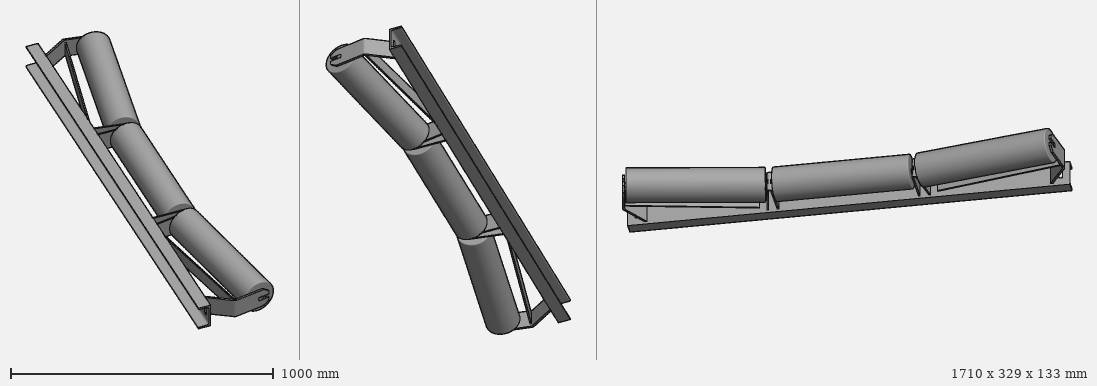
import cadquery as cq
import math


CHANNEL_LENGTH = 1710.0
CHANNEL_HEIGHT = 101.0
CHANNEL_DEPTH = 50.0
WEB_THICKNESS = 6.0
FLANGE_ROOT_THICKNESS = 9.0
FLANGE_TOE_THICKNESS = 7.2
ROOT_RADIUS = 9.4
TOE_RADIUS = 4.0
MOUNT_SLOT_WIDTH = 15.0
MOUNT_SLOT_LENGTH = 38.0
MOUNT_SLOT_X = 819.0

ROLLER_DIAMETER = 133.0
ROLLER_LENGTH = 530.0
ROLLER_EDGE_RADIUS = 3.0
ROLLER_END_GAP = 5.0
SHAFT_DIAMETER = 20.0
SHAFT_FLAT_WIDTH = 15.0
MIDDLE_ROLLER_Y = 118.0
SIDE_ROLLER_X = 561.0
SIDE_ROLLER_Y = 168.0
TROUGH_ANGLE = 10.0

BRACKET_WIDTH = 79.0
INNER_THICKNESS = 6.0
INNER_BEND_RADIUS = 4.3
INNER_TOP_Y = 145.0
OUTER_THICKNESS = 8.0
OUTER_BEND_RADIUS = 7.0
OUTER_TOP_RISE = 36.0
OUTER_BEND_Y = 103.0
OUTER_FOOT_X = 790.0
OUTER_CHAMFER_DEPTH = 24.0
OUTER_CHAMFER_WIDTH = 17.0

BRACE_WIDTH = 55.0
BRACE_THICKNESS = 6.0
BRACE_FOOT_X = 345.0
BRACE_ANGLE = 12.0

SIDES = (-1, 1)
HALF_ROLLER = ROLLER_LENGTH / 2
PLATE_FACE = HALF_ROLLER + ROLLER_END_GAP
COS_TROUGH = math.cos(math.radians(TROUGH_ANGLE))
SIN_TROUGH = math.sin(math.radians(TROUGH_ANGLE))
TAN_TROUGH = math.tan(math.radians(TROUGH_ANGLE))


def on_right_roller(along, across):
    """XY point given along the right roller's axis (outward) and square to it (away from the channel)."""
    x = SIDE_ROLLER_X + along * COS_TROUGH - across * SIN_TROUGH
    y = SIDE_ROLLER_Y + along * SIN_TROUGH + across * COS_TROUGH
    return x, y


def end_face_x(along, y):
    """X at height y on the plane square to the right roller's axis."""
    face_x, face_y = on_right_roller(along, 0)
    return face_x - (y - face_y) * TAN_TROUGH


def place_on_right_roller(shape):
    """Move a shape built around the X axis onto the right roller's axis."""
    return shape.rotate((0, 0, 0), (0, 0, 1), TROUGH_ANGLE).translate((SIDE_ROLLER_X, SIDE_ROLLER_Y, 0))


def on_side(shape, side):
    """The right-hand shape itself, or its mirror image for the left."""
    return shape if side > 0 else shape.mirror("YZ")


def extrude_outline(points, width):
    """Extrude an XY outline, centred on Z = 0."""
    return cq.Workplane("XY").polyline(points).close().extrude(width / 2, both=True)


def round_bend(plate, point, radius):
    """Round the bend line of a plate that passes nearest to an XY point."""
    return plate.edges(cq.selectors.NearestToPointSelector((*point, 0))).fillet(radius)


def make_channel():
    half_height = CHANNEL_HEIGHT / 2
    root = half_height - FLANGE_ROOT_THICKNESS
    toe = half_height - FLANGE_TOE_THICKNESS
    section = [
        (0, -half_height),
        (0, half_height),
        (-CHANNEL_DEPTH, half_height),
        (-CHANNEL_DEPTH, toe),
        (-WEB_THICKNESS, root),
        (-WEB_THICKNESS, -root),
        (-CHANNEL_DEPTH, -toe),
        (-CHANNEL_DEPTH, -half_height),
    ]
    channel = cq.Workplane("YZ").polyline(section).close().extrude(CHANNEL_LENGTH / 2, both=True)
    for side in SIDES:
        for y, z, radius in ((-WEB_THICKNESS, root, ROOT_RADIUS), (-CHANNEL_DEPTH, toe, TOE_RADIUS)):
            channel = channel.edges(cq.selectors.NearestToPointSelector((0, y, side * z))).fillet(radius)
    slots = (
        cq.Workplane("XZ")
        .pushPoints([(side * MOUNT_SLOT_X, 0) for side in SIDES])
        .slot2D(MOUNT_SLOT_LENGTH, MOUNT_SLOT_WIDTH, 90)
        .extrude(WEB_THICKNESS)
    )
    return channel.cut(slots)


def make_shaft_end(start, length):
    """Round shaft end around the X axis, flattened on its two Z sides."""
    rod = cq.Workplane("YZ", origin=(start, 0, 0)).circle(SHAFT_DIAMETER / 2).extrude(length)
    flats = cq.Workplane("YZ", origin=(start, 0, 0)).rect(SHAFT_DIAMETER, SHAFT_FLAT_WIDTH).extrude(length)
    return rod.intersect(flats)


def make_roller(left_plate, right_plate):
    """Roller along X whose shaft ends run through plates of the given thicknesses."""
    shell = cq.Workplane("YZ", origin=(-HALF_ROLLER, 0, 0)).circle(ROLLER_DIAMETER / 2).extrude(ROLLER_LENGTH)
    shell = shell.faces("<X or >X").edges().fillet(ROLLER_EDGE_RADIUS)
    necks = cq.Workplane("YZ", origin=(-PLATE_FACE, 0, 0)).circle(SHAFT_DIAMETER / 2).extrude(2 * PLATE_FACE)
    left_end = make_shaft_end(-PLATE_FACE - left_plate, left_plate)
    right_end = make_shaft_end(PLATE_FACE, right_plate)
    return shell.union(necks).union(left_end).union(right_end)


def make_shaft_slot(start, length, height):
    """Slot around the X axis that seats a flattened shaft end and opens toward +Y."""
    seat = make_shaft_end(start, length)
    mouth = cq.Workplane("XY").box(length, height, SHAFT_FLAT_WIDTH, centered=(False, False, True))
    return seat.union(mouth.translate((start, 0, 0)))


def make_inner_bracket():
    """Right bracket between two rollers: a bent plate with one upright and one leaning leg."""
    t = INNER_THICKNESS
    inside_y = INNER_TOP_Y - t
    outer_bends = [(PLATE_FACE, INNER_TOP_Y), (end_face_x(-PLATE_FACE, INNER_TOP_Y), INNER_TOP_Y)]
    inner_bends = [(end_face_x(-PLATE_FACE - t, inside_y), inside_y), (PLATE_FACE + t, inside_y)]
    outline = [
        (PLATE_FACE, 0),
        *outer_bends,
        (end_face_x(-PLATE_FACE, 0), 0),
        (end_face_x(-PLATE_FACE - t, 0), 0),
        *inner_bends,
        (PLATE_FACE + t, 0),
    ]
    bracket = extrude_outline(outline, BRACKET_WIDTH)
    for bend in inner_bends:
        bracket = round_bend(bracket, bend, INNER_BEND_RADIUS)
    for bend in outer_bends:
        bracket = round_bend(bracket, bend, INNER_BEND_RADIUS + t)
    upright_slot = make_shaft_slot(PLATE_FACE, t, INNER_TOP_Y).translate((0, MIDDLE_ROLLER_Y, 0))
    leaning_slot = place_on_right_roller(make_shaft_slot(-PLATE_FACE - t, t, INNER_TOP_Y))
    return bracket.cut(upright_slot).cut(leaning_slot)


def make_outer_bracket():
    """Right end bracket: a plate square to the side roller, bent back to the channel."""
    t = OUTER_THICKNESS
    far_face = PLATE_FACE + t
    bend = (end_face_x(far_face, OUTER_BEND_Y), OUTER_BEND_Y)
    foot_lean = math.atan2(bend[0] - OUTER_FOOT_X, OUTER_BEND_Y)
    foot_inside_x = OUTER_FOOT_X - t / math.cos(foot_lean)
    half_bend = (math.radians(TROUGH_ANGLE) + foot_lean) / 2
    inset_angle = (foot_lean - math.radians(TROUGH_ANGLE)) / 2
    inset = t / math.cos(half_bend)
    inside_bend = (bend[0] - inset * math.cos(inset_angle), bend[1] + inset * math.sin(inset_angle))
    outline = [
        on_right_roller(PLATE_FACE, OUTER_TOP_RISE),
        on_right_roller(far_face, OUTER_TOP_RISE),
        bend,
        (OUTER_FOOT_X, 0),
        (foot_inside_x, 0),
        inside_bend,
    ]
    bracket = extrude_outline(outline, BRACKET_WIDTH)
    bracket = round_bend(bracket, inside_bend, OUTER_BEND_RADIUS)
    bracket = round_bend(bracket, bend, OUTER_BEND_RADIUS + t)
    for side in SIDES:
        edge_z = side * BRACKET_WIDTH / 2
        corner = (
            cq.Workplane("YZ", origin=(PLATE_FACE, 0, 0))
            .moveTo(OUTER_TOP_RISE, edge_z)
            .lineTo(OUTER_TOP_RISE - OUTER_CHAMFER_DEPTH, edge_z)
            .lineTo(OUTER_TOP_RISE, edge_z - side * OUTER_CHAMFER_WIDTH)
            .close()
            .extrude(t)
        )
        bracket = bracket.cut(place_on_right_roller(corner))
    return bracket.cut(place_on_right_roller(make_shaft_slot(PLATE_FACE, t, OUTER_TOP_RISE)))


def make_brace(outer_bracket):
    """Right flat brace, sloping up from the channel to the end bracket."""
    slope = math.tan(math.radians(BRACE_ANGLE))
    foot_top = (
        BRACE_FOOT_X - BRACE_THICKNESS * math.sin(math.radians(BRACE_ANGLE)),
        BRACE_THICKNESS * math.cos(math.radians(BRACE_ANGLE)),
    )

    def reach_bracket(start):
        """Point where the sloping line from start meets the end bracket's inner face."""
        start_gap = end_face_x(PLATE_FACE, start[1]) - start[0]
        run = start_gap / (1 + slope * TAN_TROUGH)
        return start[0] + run, start[1] + run * slope

    foot = (BRACE_FOOT_X, 0)
    outline = [foot, reach_bracket(foot), reach_bracket(foot_top), foot_top]
    return extrude_outline(outline, BRACE_WIDTH).cut(outer_bracket)


channel = make_channel()
middle_roller = make_roller(INNER_THICKNESS, INNER_THICKNESS).translate((0, MIDDLE_ROLLER_Y, 0))
right_roller = place_on_right_roller(make_roller(INNER_THICKNESS, OUTER_THICKNESS))
right_inner_bracket = make_inner_bracket()
right_outer_bracket = make_outer_bracket()
right_brace = make_brace(right_outer_bracket)

bodies = [channel.val(), middle_roller.val()]
for side in SIDES:
    for right_body in (right_roller, right_inner_bracket, right_outer_bracket, right_brace):
        bodies.append(on_side(right_body, side).val())

result = cq.Compound.makeCompound(bodies)